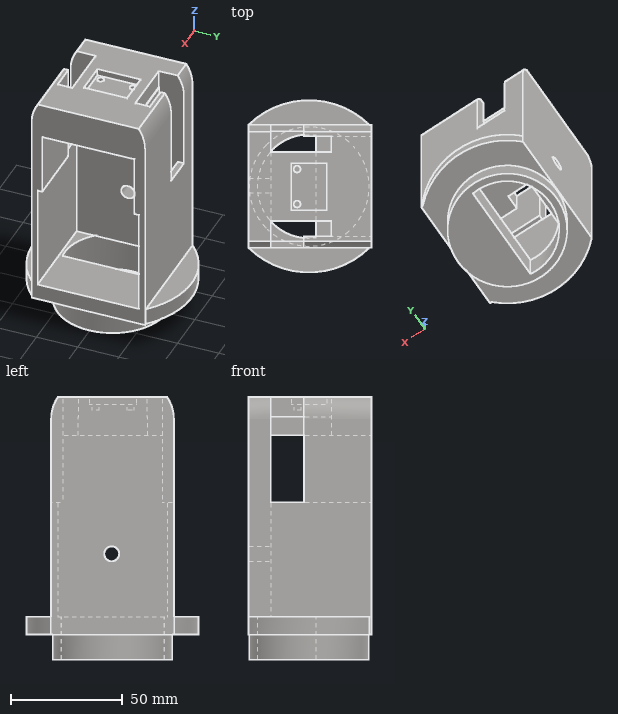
import cadquery as cq
import math

total_height = 117.5
body_width = 55.0
body_half = body_width / 2

spigot_diameter = 53.5
spigot_height = 11.3
flange_diameter = 77.0
flange_thickness = 8.0
bore_diameter = 46.3
bore_flat_x = 2.6
base_x = -0.5
flange_top = spigot_height + flange_thickness

shoulder_height = 10.0
shoulder_inset = 3.0
shoulder_radius = (shoulder_height**2 + shoulder_inset**2) / (2 * shoulder_inset)

lower_wall = 2.9
upper_wall = 5.2
sill_z = 70.5
top_thickness = 17.1
cavity_top = total_height - top_thickness

window_x = -17.5
window_width = 14.8
slot_inner_y = 15.3
slot_outer_y = body_half - upper_wall
slot_length = 27.0
lip_depth = 8.8
lip_width = 0.2

pocket_length_x = 15.7
pocket_length_y = 20.9
pocket_center_x = -0.5
pocket_center_y = -0.1
pocket_depth = 3.4
pocket_hole_diameter = 3.0
pocket_hole_depth = 2.3
pocket_hole_x = -5.8
pocket_hole_spacing = 15.6

side_hole_diameter = 6.6
side_hole_y = 0.4
side_hole_z = 47.3


def box_between(x_range, y_range, z_range):
    """Box spanning the given (low, high) limits."""
    lengths = [high - low for low, high in (x_range, y_range, z_range)]
    corner = (x_range[0], y_range[0], z_range[0])
    return cq.Workplane("XY").box(*lengths, centered=False).translate(corner)


def base_cylinder(diameter, z_low, height):
    """Cylinder on the base axis."""
    return cq.Workplane("XY", origin=(base_x, 0, z_low)).circle(diameter / 2).extrude(height)


def make_body():
    """Square column whose two upper edges curve inwards."""
    shoulder_z = total_height - shoulder_height
    top_half = body_half - shoulder_inset
    half_sweep = math.asin(shoulder_height / shoulder_radius) / 2
    mid_y = body_half - shoulder_radius * (1 - math.cos(half_sweep))
    mid_z = shoulder_z + shoulder_radius * math.sin(half_sweep)
    profile = (
        cq.Workplane("YZ", origin=(-body_half, 0, 0))
        .moveTo(-body_half, spigot_height)
        .lineTo(body_half, spigot_height)
        .lineTo(body_half, shoulder_z)
        .threePointArc((mid_y, mid_z), (top_half, total_height))
        .lineTo(-top_half, total_height)
        .threePointArc((-mid_y, mid_z), (-body_half, shoulder_z))
        .close()
    )
    return profile.extrude(body_width)


def make_base():
    """Spigot and flange; the flange is trimmed to the width of the body."""
    flange = base_cylinder(flange_diameter, spigot_height, flange_thickness)
    trim = box_between(
        (-body_half, body_half), (-flange_diameter, flange_diameter), (0, total_height)
    )
    return base_cylinder(spigot_diameter, 0, spigot_height).union(flange.intersect(trim))


def make_bore():
    """Round bore up into the cavity, ending at a flat on its +X side."""
    keep = box_between((-body_half, bore_flat_x), (-body_half, body_half), (0, flange_top))
    return base_cylinder(bore_diameter, 0, flange_top).intersect(keep)


def make_cavity():
    """Stepped box from the near edge of the windows out through the +X side."""
    x_range = (window_x, body_half)
    lower_half = body_half - lower_wall
    upper_half = body_half - upper_wall
    lower = box_between(x_range, (-lower_half, lower_half), (flange_top, sill_z))
    upper = box_between(x_range, (-upper_half, upper_half), (sill_z, cavity_top))
    return lower.union(upper)


def make_window():
    """Opening of the -Y side: a window up to the top and a slot through the top."""
    lip_z = total_height - lip_depth
    lip_y = -slot_inner_y - lip_width
    window_x_range = (window_x, window_x + window_width)
    slot_x_range = (window_x, window_x + slot_length)
    window = box_between(window_x_range, (-body_half, lip_y), (sill_z, total_height))
    lower_slot = box_between(slot_x_range, (-slot_outer_y, lip_y), (cavity_top, lip_z))
    upper_slot = box_between(slot_x_range, (-slot_outer_y, -slot_inner_y), (lip_z, total_height))
    return window.union(lower_slot).union(upper_slot)


def make_pocket():
    """Rectangular pocket in the top with its two blind holes."""
    floor_z = total_height - pocket_depth
    pocket = (
        cq.Workplane("XY", origin=(pocket_center_x, pocket_center_y, floor_z))
        .rect(pocket_length_x, pocket_length_y)
        .extrude(pocket_depth)
    )
    holes = (
        cq.Workplane("XY", origin=(pocket_hole_x, pocket_center_y, floor_z))
        .pushPoints([(0, side * pocket_hole_spacing / 2) for side in (-1, 1)])
        .circle(pocket_hole_diameter / 2)
        .extrude(-pocket_hole_depth)
    )
    return pocket.union(holes)


def make_side_hole():
    """Round hole through the -X wall into the cavity."""
    return (
        cq.Workplane("YZ", origin=(-body_half, side_hole_y, side_hole_z))
        .circle(side_hole_diameter / 2)
        .extrude(body_half)
    )


window = make_window()
result = (
    make_body()
    .union(make_base())
    .cut(make_bore())
    .cut(make_cavity())
    .cut(window)
    .cut(window.mirror("XZ"))
    .cut(make_pocket())
    .cut(make_side_hole())
)